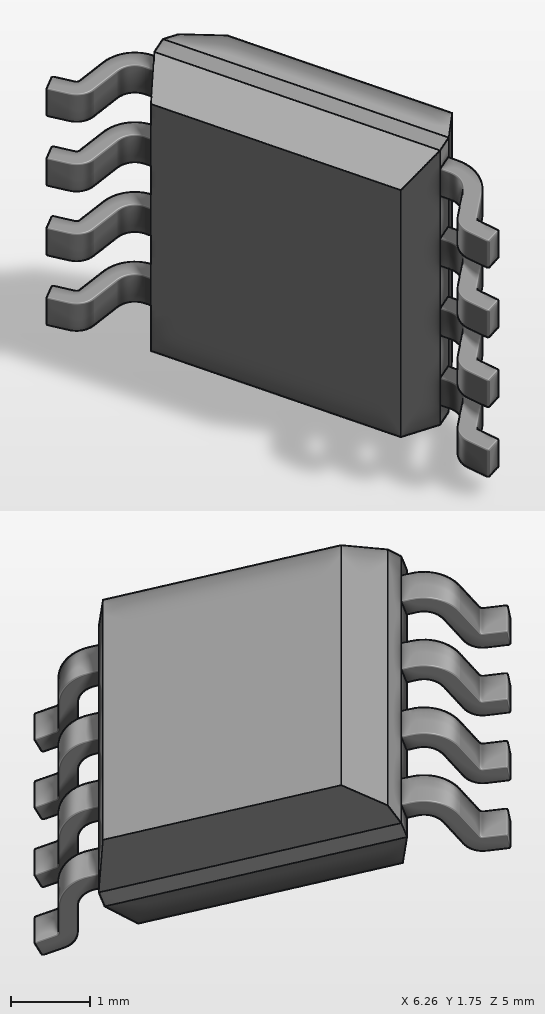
import cadquery as cq
import math

BODY_WIDTH = 4.0
BODY_LENGTH = 5.0
BODY_THICKNESS = 1.5
BAND_THICKNESS = 0.25
SLOPE_HEIGHT = (BODY_THICKNESS - BAND_THICKNESS) / 2
DRAFT_INSET = 0.25
PIN_ONE_BEVEL_WIDTH = 0.6
PIN_ONE_BEVEL_DEPTH = 0.375

LEADS_PER_SIDE = 4
LEAD_PITCH = 1.27
LEAD_WIDTH = 0.51
LEAD_THICKNESS = BAND_THICKNESS
LEAD_EDGE_ROUND = 0.03
LEAD_SPAN = 6.26
STANDOFF = 0.25
SHOULDER_LENGTH = 0.13
SHOULDER_RADIUS = 0.3
HEEL_RADIUS = 0.05
LEG_ANGLE = math.radians(72.8)
FOOT_ANGLE = math.radians(8)


def sloped_half(direction):
    """Half of the body: half the belt, then a frustum rising along +Y or -Y."""
    half_band = BAND_THICKNESS / 2
    draft = math.degrees(math.atan(DRAFT_INSET / SLOPE_HEIGHT))
    middle = cq.Plane(origin=(0, 0, 0), xDir=(1, 0, 0), normal=(0, direction, 0))
    belt = cq.Workplane(middle).rect(BODY_WIDTH, BODY_LENGTH).extrude(half_band)
    frustum = (
        cq.Workplane(middle)
        .workplane(offset=half_band)
        .rect(BODY_WIDTH, BODY_LENGTH)
        .extrude(SLOPE_HEIGHT, taper=draft)
    )
    return belt.union(frustum)


def pin_one_bevel():
    """Wedge cut off along the -X edge of the back (+Y) face."""
    back = BODY_THICKNESS / 2
    side = -BODY_WIDTH / 2
    side_inset = DRAFT_INSET * (1 - PIN_ONE_BEVEL_DEPTH / SLOPE_HEIGHT)
    return (
        cq.Workplane("XY")
        .moveTo(side + PIN_ONE_BEVEL_WIDTH, back)
        .lineTo(side + side_inset, back - PIN_ONE_BEVEL_DEPTH)
        .lineTo(side, back - PIN_ONE_BEVEL_DEPTH)
        .lineTo(side, back)
        .close()
        .extrude(BODY_LENGTH / 2, both=True)
    )


def make_body():
    return sloped_half(1).union(sloped_half(-1)).cut(pin_one_bevel())


def on_circle(center, radius, angle):
    """Point where a downward-turning bend heads at the given angle below +X."""
    return (center[0] + radius * math.sin(angle), center[1] + radius * math.cos(angle))


def lead_profile():
    """Side outline of a lead that leaves the +X side of the body."""
    root_x = BODY_WIDTH / 2
    tip_x = LEAD_SPAN / 2
    foot_y = -BODY_THICKNESS / 2 - STANDOFF
    top_y = LEAD_THICKNESS / 2
    under_y = -LEAD_THICKNESS / 2
    shoulder_outer = SHOULDER_RADIUS + LEAD_THICKNESS
    heel_outer = HEEL_RADIUS + LEAD_THICKNESS

    overhang = LEAD_EDGE_ROUND * (math.cos(FOOT_ANGLE) + math.sin(FOOT_ANGLE) - 1)
    tip_upper_x = tip_x + overhang
    tip_lower_y = foot_y - overhang
    tip_lower = (tip_upper_x - LEAD_THICKNESS * math.sin(FOOT_ANGLE), tip_lower_y)
    tip_upper = (tip_upper_x, tip_lower_y + LEAD_THICKNESS * math.cos(FOOT_ANGLE))

    shoulder_center = (root_x + SHOULDER_LENGTH, under_y - SHOULDER_RADIUS)
    leg_start = on_circle(shoulder_center, SHOULDER_RADIUS, LEG_ANGLE)
    heel_run = heel_outer * (math.sin(LEG_ANGLE) - math.sin(FOOT_ANGLE))
    heel_drop = heel_outer * (math.cos(FOOT_ANGLE) - math.cos(LEG_ANGLE))
    run = tip_lower[0] - leg_start[0] - heel_run
    drop = leg_start[1] - tip_lower[1] - heel_drop
    turn = math.sin(LEG_ANGLE - FOOT_ANGLE)
    leg_length = (drop * math.cos(FOOT_ANGLE) - run * math.sin(FOOT_ANGLE)) / turn

    leg_end = (
        leg_start[0] + leg_length * math.cos(LEG_ANGLE),
        leg_start[1] - leg_length * math.sin(LEG_ANGLE),
    )
    heel_center = (
        leg_end[0] + heel_outer * math.sin(LEG_ANGLE),
        leg_end[1] + heel_outer * math.cos(LEG_ANGLE),
    )
    middle_angle = (LEG_ANGLE + FOOT_ANGLE) / 2
    return (
        cq.Workplane("XY")
        .moveTo(root_x, under_y)
        .lineTo(shoulder_center[0], under_y)
        .threePointArc(on_circle(shoulder_center, SHOULDER_RADIUS, LEG_ANGLE / 2), leg_start)
        .lineTo(*leg_end)
        .threePointArc(
            on_circle(heel_center, -heel_outer, middle_angle),
            on_circle(heel_center, -heel_outer, FOOT_ANGLE),
        )
        .lineTo(*tip_lower)
        .lineTo(*tip_upper)
        .lineTo(*on_circle(heel_center, -HEEL_RADIUS, FOOT_ANGLE))
        .threePointArc(
            on_circle(heel_center, -HEEL_RADIUS, middle_angle),
            on_circle(heel_center, -HEEL_RADIUS, LEG_ANGLE),
        )
        .lineTo(*on_circle(shoulder_center, shoulder_outer, LEG_ANGLE))
        .threePointArc(
            on_circle(shoulder_center, shoulder_outer, LEG_ANGLE / 2),
            (shoulder_center[0], top_y),
        )
        .lineTo(root_x, top_y)
        .close()
    )


def make_lead():
    """One lead on the +X side, centered on Z, with its side and tip edges rounded."""
    blank = lead_profile().extrude(LEAD_WIDTH / 2, both=True)
    side_edges = blank.faces("|Z").edges("not <X")
    tip_edges = blank.edges("|Z").edges(">X or <Y")
    return blank.newObject(side_edges.vals() + tip_edges.vals()).fillet(LEAD_EDGE_ROUND)


def make_leads():
    right_lead = make_lead()
    leads = []
    for lead in (right_lead, right_lead.mirror("YZ")):
        for index in range(LEADS_PER_SIDE):
            z = (index - (LEADS_PER_SIDE - 1) / 2) * LEAD_PITCH
            leads.append(lead.translate((0, 0, z)).val())
    return leads


body = make_body()
leads = make_leads()

result = cq.Compound.makeCompound([body.val(), *leads])